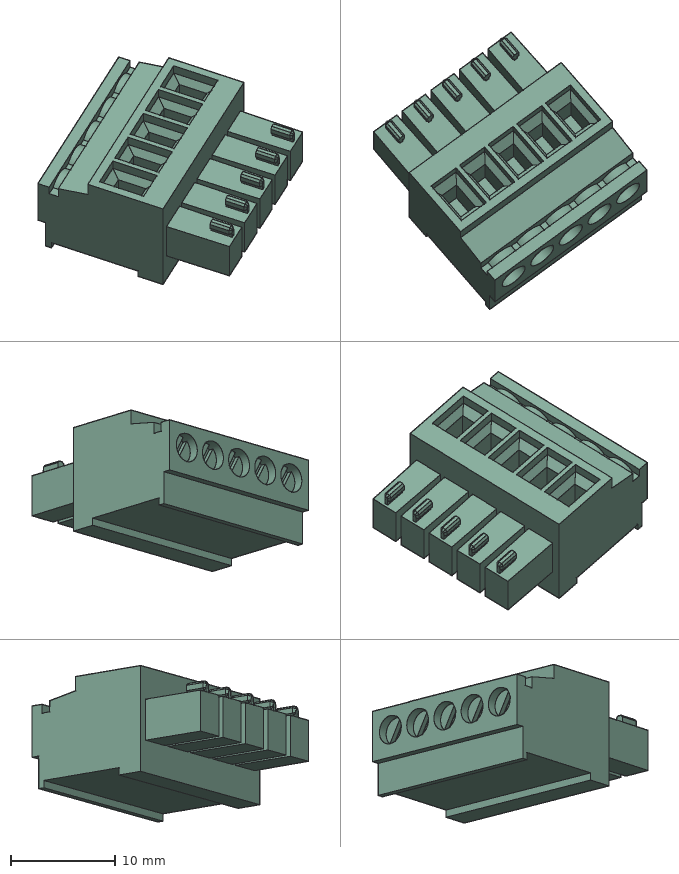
import cadquery as cq

pole_count = 5
pole_pitch = 3.5
pole_positions = [(i - (pole_count - 1) / 2) * pole_pitch for i in range(pole_count)]

housing_width = 18.61
housing_length = 13.2
housing_height = 10.4
lip_height = 8.24
groove_start = 1.2
groove_end = 2.16
groove_floor = 7.36
slope_low_height = 8.46
tower_start = 5.28
slope_high_height = 9.0
step_depth = 0.8
step_height = 3.2
foot_height = 0.72
front_foot_end = 1.44
rear_foot_start = 10.56

screw_height = 5.95
screw_opening_diameter = 2.8
screw_collar_diameter = 4.0
screw_recess = 0.96
screw_slot_width = 0.56
screw_slot_depth = 0.52
screw_slot_angle = 60

funnel_center_x = 8.48
funnel_mouth_size = (4.64, 3.04)
funnel_throat_size = (2.88, 1.76)
funnel_mouth_depth = 1.0
funnel_taper_depth = 0.6
funnel_throat_depth = 3.0

finger_end = 19.8
finger_bottom = step_height
finger_top = 7.23
finger_root_width = 3.0
finger_tip_width = 2.84

key_start = 17.28
key_end = 19.52
key_top = 8.43
key_height = 0.95
key_width = 0.78
key_chamfer = 0.21
key_tip_chamfer = 0.25
stem_width = key_width - 2 * key_chamfer


def make_housing():
    profile = [
        (0, step_height),
        (0, lip_height),
        (groove_start, lip_height),
        (groove_start, groove_floor),
        (groove_end, groove_floor),
        (groove_end, slope_low_height),
        (tower_start, slope_high_height),
        (tower_start, housing_height),
        (housing_length, housing_height),
        (housing_length, 0),
        (rear_foot_start, 0),
        (rear_foot_start, foot_height),
        (front_foot_end, foot_height),
        (front_foot_end, 0),
        (step_depth, 0),
        (step_depth, step_height),
    ]
    return cq.Workplane("XZ").polyline(profile).close().extrude(housing_width / 2, both=True)


def make_screw_collar(y):
    """Round collar around the screw, standing up as a bump in the groove."""
    return (
        cq.Workplane("YZ", origin=(groove_start, y, screw_height))
        .circle(screw_collar_diameter / 2)
        .extrude(groove_end - groove_start)
    )


def make_screw_recess(y):
    """Round opening down to the screw head, with the driver slot in the head."""
    opening = (
        cq.Workplane("YZ", origin=(0, y, screw_height))
        .circle(screw_opening_diameter / 2)
        .extrude(screw_recess + screw_slot_depth)
    )
    head = (
        cq.Workplane("YZ", origin=(screw_recess, y, screw_height))
        .circle(screw_opening_diameter / 2)
        .extrude(screw_slot_depth)
    )
    slot = (
        cq.Workplane("YZ", origin=(screw_recess, y, screw_height))
        .transformed(rotate=(0, 0, 180 - screw_slot_angle))
        .rect(screw_opening_diameter, screw_slot_width)
        .extrude(screw_slot_depth)
    )
    return opening.cut(head.cut(slot))


def make_funnel(y):
    """Rectangular wire entry: straight mouth, tapered middle, straight throat."""
    taper_top = housing_height - funnel_mouth_depth
    throat_top = taper_top - funnel_taper_depth
    mouth = (
        cq.Workplane("XY", origin=(funnel_center_x, y, taper_top))
        .rect(*funnel_mouth_size)
        .extrude(funnel_mouth_depth)
    )
    taper = (
        cq.Workplane("XY", origin=(funnel_center_x, y, taper_top))
        .rect(*funnel_mouth_size)
        .workplane(offset=-funnel_taper_depth)
        .rect(*funnel_throat_size)
        .loft(ruled=True)
    )
    throat = (
        cq.Workplane("XY", origin=(funnel_center_x, y, throat_top))
        .rect(*funnel_throat_size)
        .extrude(-funnel_throat_depth)
    )
    return mouth.union(taper).union(throat)


def make_finger(y):
    outline = [
        (housing_length, y - finger_root_width / 2),
        (finger_end, y - finger_tip_width / 2),
        (finger_end, y + finger_tip_width / 2),
        (housing_length, y + finger_root_width / 2),
    ]
    return (
        cq.Workplane("XY", origin=(0, 0, finger_bottom))
        .polyline(outline)
        .close()
        .extrude(finger_top - finger_bottom)
    )


def make_key(y):
    key_length = key_end - key_start
    key_middle = key_top - key_height / 2
    bar = (
        cq.Workplane("YZ", origin=(key_start, y, key_middle))
        .rect(key_width, key_height)
        .extrude(key_length)
        .edges("|X")
        .chamfer(key_chamfer)
        .faces(">X")
        .chamfer(key_tip_chamfer)
    )
    stem_height = key_middle - finger_top
    stem = cq.Workplane("XY").box(
        key_length, stem_width, stem_height, centered=(False, True, False)
    )
    return bar.union(stem.translate((key_start, y, finger_top)))


result = make_housing()
for pole_y in pole_positions:
    result = result.union(make_screw_collar(pole_y))
    result = result.cut(make_screw_recess(pole_y))
    result = result.cut(make_funnel(pole_y))
    result = result.union(make_finger(pole_y))
    result = result.union(make_key(pole_y))